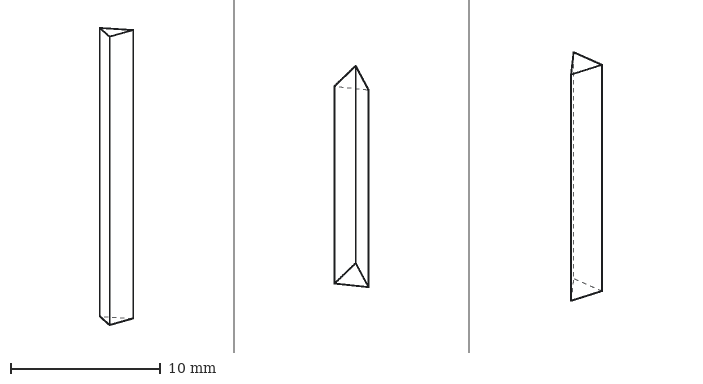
import cadquery as cq
import math

bar_length = 20.0
triangle_height = 2.0
triangle_side = 2 * triangle_height / math.sqrt(3)

section = [
    (-triangle_height / 2, 0),
    (triangle_height / 2, -triangle_side / 2),
    (triangle_height / 2, triangle_side / 2),
]

result = cq.Workplane("XY").polyline(section).close().extrude(bar_length)